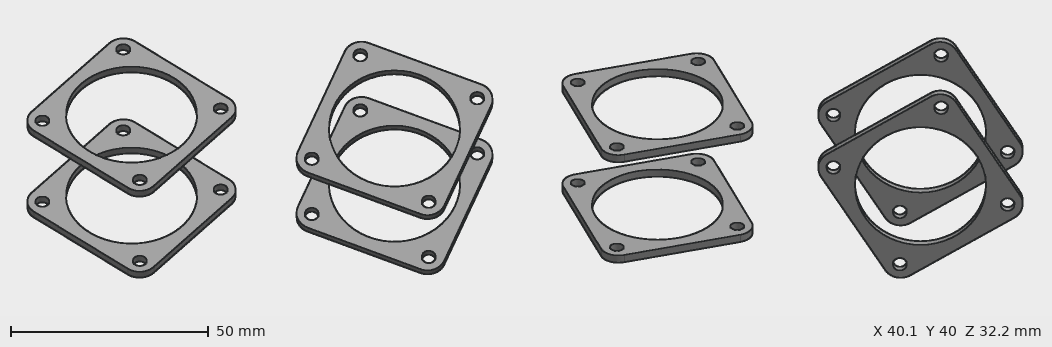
import cadquery as cq

length_x = 40.1
width_y = 40.05
total_height = 32.22

plate_thickness = 2.2
corner_radius = 4.6
bore_diameter = 33.1
screw_hole_diameter = 3.5
screw_hole_spacing = 32.0

lower_plate_z = -total_height / 2
upper_plate_z = total_height / 2 - plate_thickness


def make_plate(bottom_z):
    """Square plate with rounded corners, a large bore and four screw holes."""
    plate = (
        cq.Workplane("XY")
        .workplane(offset=bottom_z)
        .rect(length_x, width_y)
        .extrude(plate_thickness)
        .edges("|Z")
        .fillet(corner_radius)
    )
    plate = plate.faces(">Z").workplane(origin=(0, 0, 0)).hole(bore_diameter)
    return (
        plate.faces(">Z")
        .workplane(origin=(0, 0, 0))
        .rect(screw_hole_spacing, screw_hole_spacing, forConstruction=True)
        .vertices()
        .hole(screw_hole_diameter)
    )


plates = [make_plate(bottom_z) for bottom_z in (lower_plate_z, upper_plate_z)]

result = cq.Compound.makeCompound([plate.val() for plate in plates])